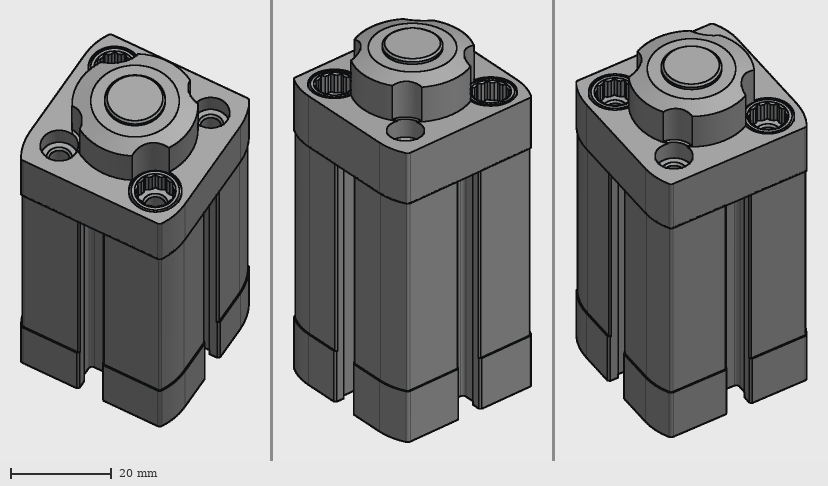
import cadquery as cq
import math

total_height = 79.0
rod_proud = 1.0
collar_height = 9.5
cap_height = 12.0

collar_top = total_height - rod_proud
housing_top = collar_top - collar_height
head_bottom = housing_top - cap_height

cap_width = 35.5
tube_inset = 0.25
flank_flat = 21.9
flank_radius = 13.4
corner_fillet = 0.9

collar_diameter = 25.0
collar_face_diameter = 17.5
collar_taper = 1.3
screw_diameter = 10.5
mount_relief_diameter = 9.0
relief_ledge = 0.2

rod_diameter = 12.0
rod_chamfer = 0.5

hole_pitch = 22.0
through_diameter = 4.1
through_chamfer = 0.5
mount_bore_diameter = 7.5
mount_bore_depth = 4.0

screw_chamfer = 0.5
socket_mouth_diameter = 8.2
socket_corner_diameter = 8.05
socket_tip_diameter = 7.3
socket_tip_width = 0.7
socket_mouth_depth = 0.3
socket_depth = 4.5
socket_points = 12

slot_width = 5.3
slot_chamfer = 0.4
slot_cavity_width = 6.95
slot_lip_depth = 2.0
slot_depth = 5.9
slot_floor_fillet = 0.8

half_pitch = hole_pitch / 2
mount_corners = [(-half_pitch, -half_pitch), (half_pitch, half_pitch)]
screw_corners = [(-half_pitch, half_pitch), (half_pitch, -half_pitch)]


def cylinder(center, diameter, bottom, top):
    return cq.Workplane("XY", origin=(*center, bottom)).circle(diameter / 2).extrude(top - bottom)


def cone(center, bottom_diameter, top_diameter, bottom, top):
    return cq.Workplane(
        cq.Solid.makeCone(bottom_diameter / 2, top_diameter / 2, top - bottom, cq.Vector(*center, bottom))
    )


def block(inset, bottom, top):
    """Square prism whose X sides bow in towards the corners, shrunk evenly by the inset."""
    half = cap_width / 2 - inset
    flat = flank_flat / 2
    radius = flank_radius - inset
    center_x = half - radius
    corner_angle = math.asin((half - flat) / radius)
    corner_x = center_x + radius * math.cos(corner_angle)
    mid_x = center_x + radius * math.cos(corner_angle / 2)
    mid_y = flat + radius * math.sin(corner_angle / 2)
    return (
        cq.Workplane("XY", origin=(0, 0, bottom))
        .moveTo(half, -flat)
        .lineTo(half, flat)
        .threePointArc((mid_x, mid_y), (corner_x, half))
        .lineTo(-corner_x, half)
        .threePointArc((-mid_x, mid_y), (-half, flat))
        .lineTo(-half, -flat)
        .threePointArc((-mid_x, -mid_y), (-corner_x, -half))
        .lineTo(corner_x, -half)
        .threePointArc((mid_x, -mid_y), (half, -flat))
        .close()
        .extrude(top - bottom)
        .edges("|Z and (>Y or <Y)")
        .fillet(corner_fillet - inset)
    )


def slot_cutter(inset, bottom, top):
    """T-slot open towards -Y, with its mouth chamfered at the face set in by the inset."""
    face = inset - cap_width / 2
    tube_face = tube_inset - cap_width / 2
    lip_back = tube_face + slot_lip_depth
    floor = tube_face + slot_depth
    height = top - bottom
    mouth = (
        cq.Workplane("XY", origin=(0, 0, bottom))
        .moveTo(-slot_width / 2 - slot_chamfer, face)
        .lineTo(slot_width / 2 + slot_chamfer, face)
        .lineTo(slot_width / 2, face + slot_chamfer)
        .lineTo(slot_width / 2, lip_back)
        .lineTo(-slot_width / 2, lip_back)
        .lineTo(-slot_width / 2, face + slot_chamfer)
        .close()
        .extrude(height)
    )
    cavity = (
        cq.Workplane("XY", origin=(0, (lip_back + floor) / 2, bottom))
        .rect(slot_cavity_width, floor - lip_back)
        .extrude(height)
        .edges("|Z and >Y")
        .fillet(slot_floor_fillet)
    )
    return mouth.union(cavity)


def slotted_block(inset, bottom, top):
    prism = block(inset, bottom, top)
    cutter = slot_cutter(inset, bottom, top)
    for side in range(4):
        prism = prism.cut(cutter.rotate((0, 0, 0), (0, 0, 1), 90 * side))
    return prism


def make_collar():
    taper_start = collar_top - collar_taper
    collar = cylinder((0, 0), collar_diameter, housing_top, taper_start)
    collar = collar.union(cone((0, 0), collar_diameter, collar_face_diameter, taper_start, collar_top))
    for corner in mount_corners:
        collar = collar.cut(cylinder(corner, mount_relief_diameter, housing_top + relief_ledge, collar_top))
        collar = collar.cut(cylinder(corner, mount_bore_diameter, housing_top, collar_top))
    for corner in screw_corners:
        collar = collar.cut(cylinder(corner, screw_diameter, housing_top, collar_top))
    return collar


def through_hole(corner, seat):
    """Full-height hole with a countersunk mouth at the seat height."""
    mouth_diameter = through_diameter + 2 * through_chamfer
    hole = cylinder(corner, through_diameter, 0, seat)
    return hole.union(cone(corner, through_diameter, mouth_diameter, seat - through_chamfer, seat))


def mount_bore(corner):
    seat = housing_top - mount_bore_depth
    return cylinder(corner, mount_bore_diameter, seat, housing_top).union(through_hole(corner, seat))


def screw_edge(corner):
    """Groove left by the chamfered rim of a flush screw head."""
    bottom = housing_top - screw_chamfer
    rim = cone(corner, screw_diameter, screw_diameter - 2 * screw_chamfer, bottom, housing_top)
    return cylinder(corner, screw_diameter, bottom, housing_top).cut(rim)


def socket_outline():
    """Twelve sharp outer corners with a short flat tip between each two."""
    pitch = 2 * math.pi / socket_points
    corner_radius = socket_corner_diameter / 2
    tip_radius = math.hypot(socket_tip_diameter / 2, socket_tip_width / 2)
    tip_half_angle = math.atan2(socket_tip_width, socket_tip_diameter)
    points = []
    for index in range(socket_points):
        angle = index * pitch
        tip_angle = angle + pitch / 2
        points.append((corner_radius * math.cos(angle), corner_radius * math.sin(angle)))
        for tip_end in (tip_angle - tip_half_angle, tip_angle + tip_half_angle):
            points.append((tip_radius * math.cos(tip_end), tip_radius * math.sin(tip_end)))
    return points


def screw_socket(corner):
    seat = housing_top - socket_depth
    mouth_bottom = housing_top - socket_mouth_depth
    socket = (
        cq.Workplane("XY", origin=(*corner, seat))
        .polyline(socket_outline())
        .close()
        .extrude(socket_depth)
    )
    mouth = cone(corner, socket_tip_diameter, socket_mouth_diameter, mouth_bottom, housing_top)
    return socket.union(mouth).union(through_hole(corner, seat))


def make_housing():
    housing = (
        slotted_block(0, 0, cap_height)
        .union(slotted_block(tube_inset, cap_height, head_bottom))
        .union(block(0, head_bottom, housing_top))
        .union(make_collar())
    )
    for corner in mount_corners:
        housing = housing.cut(mount_bore(corner))
    for corner in screw_corners:
        housing = housing.cut(screw_edge(corner)).cut(screw_socket(corner))
    return housing.cut(cylinder((0, 0), rod_diameter, head_bottom, total_height))


def make_rod():
    rod = cylinder((0, 0), rod_diameter, head_bottom, total_height)
    return rod.faces(">Z").chamfer(rod_chamfer)


housing = make_housing()
rod = make_rod()

result = cq.Compound.makeCompound([housing.val(), rod.val()])